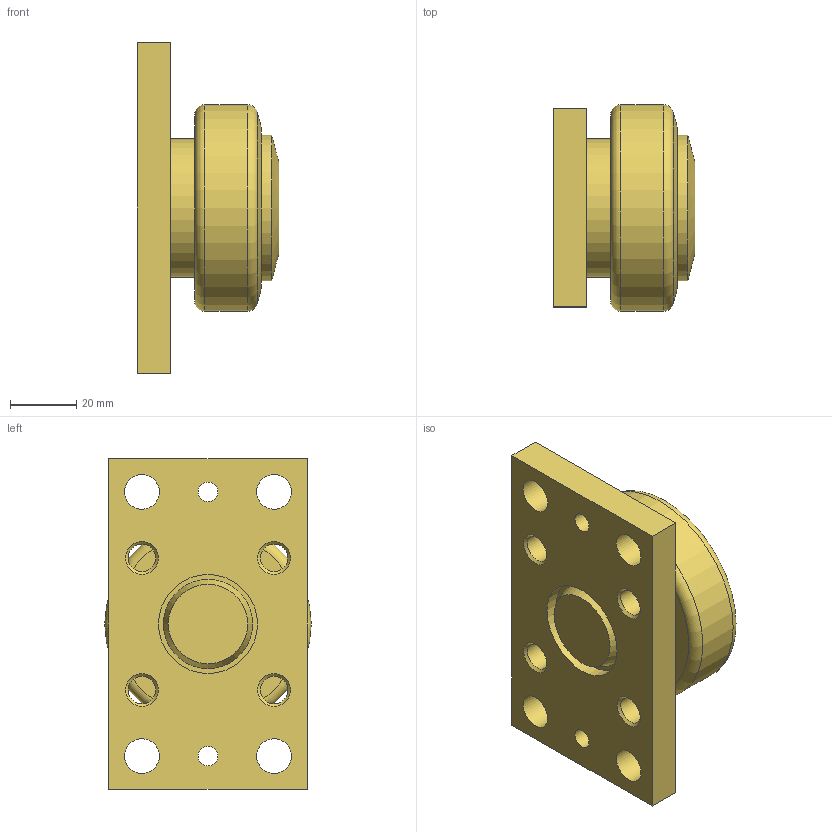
import cadquery as cq
import math

plate_thickness = 10.0
plate_width = 60.0
plate_height = 100.0

hole_column_y = 20.0
outer_row_z = 40.0
inner_row_z = 20.0
bolt_hole_diameter = 10.5
dowel_hole_diameter = 6.0
thread_diameter = 10.0
thread_core_diameter = 8.376

bore_diameter = 30.0
pin_tip_diameter = 24.0
pin_root_diameter = 27.0
weld_groove_depth = 4.0

total_length = 43.0
shoulder_radius = 21.0
roller_radius = 31.25
roller_start_x = 17.5
roller_end_x = 37.6
roller_edge_radius = 3.0
roller_end_face_radius = 24.5
cap_radius = 22.0
cap_rim_x = 40.8

cone_angle = math.radians(15.0)


def cylinder_along_x(diameter, start_x, length, y=0.0, z=0.0):
    return cq.Workplane("YZ", origin=(start_x, y, z)).circle(diameter / 2).extrude(length)


def cone_along_x(start_diameter, end_diameter, length, y=0.0, z=0.0):
    """Frustum that starts on the outer face of the plate."""
    solid = cq.Solid.makeCone(
        start_diameter / 2,
        end_diameter / 2,
        length,
        pnt=cq.Vector(0, y, z),
        dir=cq.Vector(1, 0, 0),
    )
    return cq.Workplane(obj=solid)


def make_plate():
    plate = cq.Workplane("XY").box(
        plate_thickness, plate_width, plate_height, centered=(False, True, True)
    )
    for z_side in (-1, 1):
        row_z = z_side * outer_row_z
        plate = plate.cut(cylinder_along_x(dowel_hole_diameter, 0, plate_thickness, 0, row_z))
        for y_side in (-1, 1):
            y = y_side * hole_column_y
            plate = plate.cut(cylinder_along_x(bolt_hole_diameter, 0, plate_thickness, y, row_z))
            plate = plate.cut(make_threaded_hole(y, z_side * inner_row_z))
    return plate


def make_threaded_hole(y, z):
    """Core hole through the plate with a 45 degree lead-in chamfer out to the thread diameter."""
    chamfer_depth = (thread_diameter - thread_core_diameter) / 2
    core = cylinder_along_x(thread_core_diameter, 0, plate_thickness, y, z)
    return core.union(cone_along_x(thread_diameter, thread_core_diameter, chamfer_depth, y, z))


def make_weld_groove():
    """Ring-shaped recess between the plate bore and the tapered pin end."""
    pin_taper = cone_along_x(pin_tip_diameter, pin_root_diameter, weld_groove_depth)
    recess = cylinder_along_x(bore_diameter, 0, weld_groove_depth)
    return recess.cut(pin_taper)


def make_roller():
    """Shoulder, crowned roller and end cap as one turned body."""
    edge_center_radius = roller_radius - roller_edge_radius
    back_edge_center_x = roller_start_x + roller_edge_radius

    cone_start_radius = edge_center_radius + roller_edge_radius * math.sin(cone_angle)
    cone_depth = (cone_start_radius - roller_end_face_radius) * math.tan(cone_angle)
    cone_start_x = roller_end_x - cone_depth
    front_edge_center_x = cone_start_x - roller_edge_radius * math.cos(cone_angle)

    def edge_point(center_x, angle):
        x = center_x + roller_edge_radius * math.cos(angle)
        radius = edge_center_radius + roller_edge_radius * math.sin(angle)
        return (x, radius)

    radial_angle = math.radians(90)
    back_mid_angle = 1.5 * radial_angle
    front_mid_angle = (radial_angle + cone_angle) / 2
    cap_face_radius = cap_radius - (total_length - cap_rim_x) / math.tan(cone_angle)

    profile = (
        cq.Workplane("XY")
        .moveTo(plate_thickness, 0)
        .lineTo(plate_thickness, shoulder_radius)
        .lineTo(roller_start_x, shoulder_radius)
        .lineTo(roller_start_x, edge_center_radius)
        .threePointArc(
            edge_point(back_edge_center_x, back_mid_angle),
            (back_edge_center_x, roller_radius),
        )
        .lineTo(front_edge_center_x, roller_radius)
        .threePointArc(
            edge_point(front_edge_center_x, front_mid_angle),
            (cone_start_x, cone_start_radius),
        )
        .lineTo(roller_end_x, roller_end_face_radius)
        .lineTo(roller_end_x, cap_radius)
        .lineTo(cap_rim_x, cap_radius)
        .lineTo(total_length, cap_face_radius)
        .lineTo(total_length, 0)
        .close()
    )
    return profile.revolve(360, (0, 0, 0), (1, 0, 0))


result = make_plate().cut(make_weld_groove()).union(make_roller())